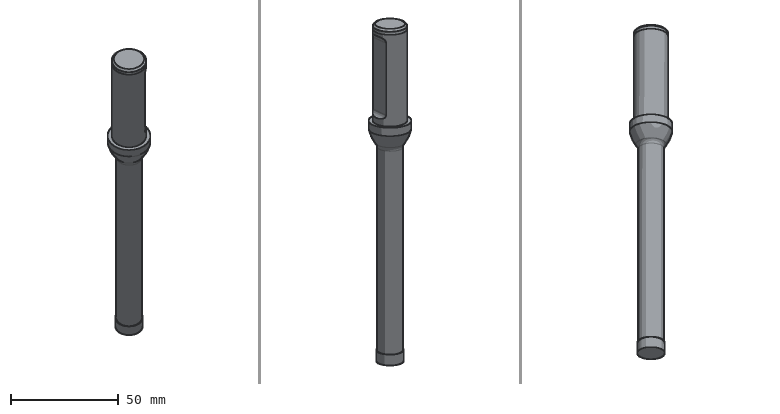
import cadquery as cq

total_length = 169.0

shank_radius = 16.0 / 2
top_chamfer = 1.0
groove_center_offset = 1.9
groove_section_radius = 2.5 / 2
groove_depth = 0.25
flat_offset = 6.0
flat_top_z = 164.8
flat_bottom_z = 124.0
flat_end_radius = 2.5

collar_radius = 20.0 / 2
collar_top_z = 121.0
shoulder_top_z = 117.0
neck_top_z = 110.4
neck_bottom_z = 108.2
neck_top_radius = 7.1
shoulder_mid_drop = 2.4
shoulder_mid_inset = 0.7

stem_radius = 12.2 / 2
tip_radius = 12.8 / 2
tip_top_z = 7.5
point_height = 2.0


def make_blank():
    """Shank, collar and stem revolved about Z."""
    shoulder_mid = (collar_radius - shoulder_mid_inset, shoulder_top_z - shoulder_mid_drop)
    profile = (
        cq.Workplane("XZ")
        .moveTo(0, tip_top_z)
        .lineTo(stem_radius, tip_top_z)
        .lineTo(stem_radius, neck_bottom_z)
        .tangentArcPoint((neck_top_radius, neck_top_z), relative=False)
        .threePointArc(shoulder_mid, (collar_radius, shoulder_top_z))
        .lineTo(collar_radius, collar_top_z)
        .lineTo(shank_radius, collar_top_z)
        .lineTo(shank_radius, total_length - top_chamfer)
        .lineTo(shank_radius - top_chamfer, total_length)
        .lineTo(0, total_length)
        .close()
    )
    return profile.revolve(360, (0, 0, 0), (0, 1, 0))


def make_groove_cutter():
    """Ring of circular section that cuts the shallow groove just below the top chamfer."""
    center_radius = shank_radius - groove_depth + groove_section_radius
    return (
        cq.Workplane("XZ")
        .center(center_radius, total_length - groove_center_offset)
        .circle(groove_section_radius)
        .revolve(360, (-center_radius, 0, 0), (-center_radius, 1, 0))
    )


def make_flat_cutter():
    """Block that cuts the clamping flat and leaves a rounded corner at each end."""
    cut_depth = collar_radius - flat_offset
    return (
        cq.Workplane("XY")
        .box(2 * collar_radius, cut_depth, flat_top_z - flat_bottom_z, centered=(True, False, False))
        .translate((0, flat_offset, flat_bottom_z))
        .edges("|X and <Y")
        .fillet(flat_end_radius)
    )


def make_tip():
    """Cylindrical cutting tip with a shallow conical point."""
    return (
        cq.Workplane("XZ")
        .lineTo(tip_radius, point_height)
        .lineTo(tip_radius, tip_top_z)
        .lineTo(0, tip_top_z)
        .close()
        .revolve(360, (0, 0, 0), (0, 1, 0))
    )


holder = make_blank().cut(make_groove_cutter()).cut(make_flat_cutter())
tip = make_tip()

result = cq.Compound.makeCompound([holder.val(), tip.val()])